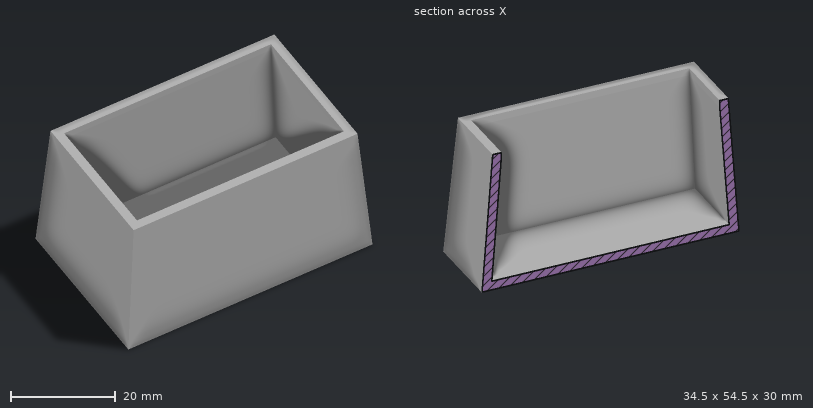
import cadquery as cq

base_x = 34.5
base_y = 54.5
height = 30.0
top_x = 30.9
top_y = 50.0

rim_width = 1.9
lip_depth = 1.5
floor_thickness = 2.0

opening_x = top_x - 2 * rim_width
opening_y = top_y - 2 * rim_width
lip_z = height - lip_depth
cavity_height = lip_z - floor_thickness

taper_share = cavity_height / height
floor_x = opening_x + (base_x - top_x) * taper_share
floor_y = opening_y + (base_y - top_y) * taper_share


def tapered_block(lower, upper, bottom_z, block_height):
    """Loft between two centred rectangles, each given as (x, y) sizes."""
    return (
        cq.Workplane("XY")
        .workplane(offset=bottom_z)
        .rect(*lower)
        .workplane(offset=block_height)
        .rect(*upper)
        .loft(ruled=True)
    )


body = tapered_block((base_x, base_y), (top_x, top_y), 0, height)
cavity = tapered_block((floor_x, floor_y), (opening_x, opening_y), floor_thickness, cavity_height)

opening = (
    cq.Workplane("XY")
    .workplane(offset=lip_z)
    .rect(opening_x, opening_y)
    .extrude(lip_depth)
)

result = body.cut(cavity).cut(opening)